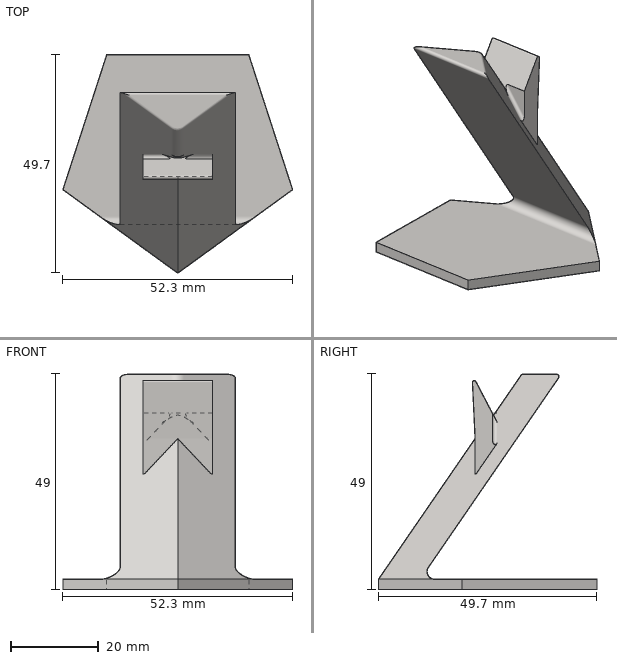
import cadquery as cq
import math

foot_width = 52.3
foot_thickness = 2.35
corner_radius = foot_width / (2 * math.sin(math.radians(72)))
front_tip_y = -corner_radius
edge_slope = math.tan(math.radians(36))

total_height = 49.0
post_width = 26.25
post_depth = post_width / 2 * edge_slope
lean = 0.687
post_height = total_height - foot_thickness
top_shift = lean * post_height
rear_base_y = front_tip_y + post_depth
root_radius = 1.75
top_edge_radius = 0.6
ridge_radius = 2.7

hook_width = 15.85
hook_bottom_z = 26.25
hook_top_z = 47.55
hook_front_y = front_tip_y + 21.95
hook_rear_y = front_tip_y + 25.95
hook_lip_front_y = front_tip_y + 21.35
hook_lip_rear_y = front_tip_y + 22.1
hook_tip_radius = 0.4
hook_root_radius = 0.65


def ridge_z(y):
    """Height of the sharp front ridge of the post at a given Y."""
    return foot_thickness + (y - front_tip_y) / lean


def make_foot():
    pentagon = [
        (corner_radius * math.sin(math.radians(72 * i)), -corner_radius * math.cos(math.radians(72 * i)))
        for i in range(5)
    ]
    return cq.Workplane("XY").polyline(pentagon).close().extrude(foot_thickness)


def make_post():
    half_width = foot_width / 2
    wedge_rear_y = front_tip_y + half_width * edge_slope
    wedge_wire = cq.Wire.makePolygon(
        [
            cq.Vector(0, front_tip_y, foot_thickness),
            cq.Vector(half_width, wedge_rear_y, foot_thickness),
            cq.Vector(-half_width, wedge_rear_y, foot_thickness),
        ],
        close=True,
    )
    wedge = cq.Solid.extrudeLinear(wedge_wire, [], cq.Vector(0, top_shift, post_height))

    rear_angle = math.atan2(1, lean)
    setback = root_radius / math.tan(rear_angle / 2)
    arc_end_y = rear_base_y + setback
    arc_start = (
        rear_base_y + setback * math.cos(rear_angle),
        foot_thickness + setback * math.sin(rear_angle),
    )
    arc_mid = (
        arc_end_y - root_radius * math.cos(rear_angle / 2),
        foot_thickness + root_radius * (1 - math.sin(rear_angle / 2)),
    )
    profile = (
        cq.Workplane("YZ")
        .moveTo(front_tip_y, foot_thickness)
        .lineTo(front_tip_y + top_shift, total_height)
        .lineTo(rear_base_y + top_shift, total_height)
        .lineTo(*arc_start)
        .threePointArc(arc_mid, (arc_end_y, foot_thickness))
        .close()
        .extrude(half_width, both=True)
    )
    post = profile.intersect(cq.Workplane(obj=wedge))

    ridge_point = (0, front_tip_y + top_shift / 2, foot_thickness + post_height / 2)
    rounded = post.edges(cq.selectors.NearestToPointSelector(ridge_point)).fillet(ridge_radius)
    rounded = rounded.faces(">Z").edges().fillet(top_edge_radius)

    ridge_end_z = ridge_z(hook_front_y)
    box_side = 2 * foot_width
    lower_box = cq.Workplane("XY").box(box_side, box_side, ridge_end_z, centered=(True, True, False))
    return rounded.cut(lower_box).union(post.intersect(lower_box))


def make_hook():
    hook = (
        cq.Workplane("YZ")
        .polyline(
            [
                (hook_front_y, hook_bottom_z),
                (hook_front_y, ridge_z(hook_front_y)),
                (hook_lip_front_y, hook_top_z),
                (hook_lip_rear_y, hook_top_z),
                (hook_rear_y, ridge_z(hook_rear_y)),
                (hook_rear_y, hook_bottom_z),
            ]
        )
        .close()
        .extrude(hook_width / 2, both=True)
    )
    return hook.faces(">Z").edges("|X").fillet(hook_tip_radius)


def round_hook_root(body):
    """Blend the rear wall of the hook into both front faces of the post."""
    margin = 0.05
    ridge_end = ridge_z(hook_rear_y)
    center_box = cq.selectors.BoxSelector(
        (-hook_width / 2 + margin, hook_rear_y - margin, hook_bottom_z),
        (hook_width / 2 - margin, hook_rear_y + margin, ridge_end - margin),
    )
    blended = body.edges(center_box).fillet(hook_root_radius)

    back_slope = (hook_top_z - ridge_end) / (hook_rear_y - hook_lip_rear_y)
    trim_length = 3 * hook_root_radius
    trim_end_y = hook_rear_y + trim_length
    above_back = (
        cq.Workplane("YZ")
        .polyline(
            [
                (hook_rear_y, ridge_end),
                (trim_end_y, ridge_end - back_slope * trim_length),
                (trim_end_y, ridge_end),
            ]
        )
        .close()
        .extrude(hook_width / 2, both=True)
    )
    return blended.cut(above_back).union(body)


post_with_hook = round_hook_root(make_post().union(make_hook()))
result = make_foot().union(post_with_hook)